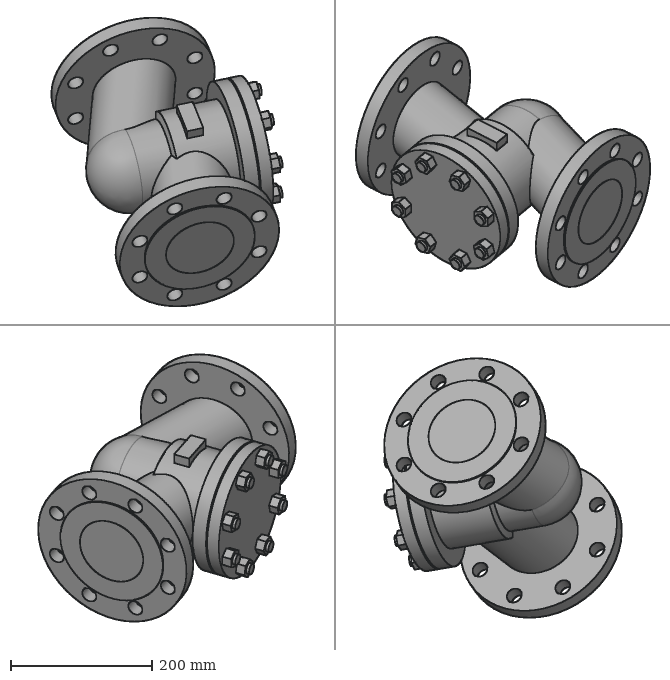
import cadquery as cq
import math


LENGTH = 350.0
FLANGE_DIAMETER = 235.0
FLANGE_THICKNESS = 21.7
RAISED_FACE_DIAMETER = 162.0
RAISED_FACE_HEIGHT = 2.5
FLANGE_BOLT_CIRCLE = 190.0
FLANGE_HOLE_DIAMETER = 22.0
BORE_DIAMETER = 100.0
BORE_RECESS = 0.5
BOLT_COUNT = 8
HALF_PITCH = 180 / BOLT_COUNT

PIPE_DIAMETER = 115.0
INLET_ANGLE = 20.0
OUTLET_ANGLE = 13.0
INLET_OFFSET = -1.8

NECK_DIAMETER = 125.0
SPHERE_CENTER_Y = -51.8
BODY_DIAMETER = 145.0
BODY_BOTTOM_Y = 2.8
SHOULDER_HEIGHT = 4.2

BONNET_DIAMETER = 195.5
BODY_FLANGE_BOTTOM_Y = 89.5
BODY_FLANGE_THICKNESS = 21.0
SEAL_DIAMETER = 135.0
SEAL_THICKNESS = 2.0
COVER_THICKNESS = 18.2
BONNET_BOLT_CIRCLE = 160.3
NUT_ACROSS_FLATS = 24.0
NUT_HEIGHT = 13.5
NUT_TWIST = -7.5
STUD_DIAMETER = 16.0
STUD_PROJECTION = 4.5

PAD_LENGTH = 53.2
PAD_WIDTH = 23.8
PAD_CENTER_Y = 36.5
PAD_TOP_Z = 82.2

FLANGE_BACK_X = LENGTH / 2 - RAISED_FACE_HEIGHT - FLANGE_THICKNESS
COVER_BOTTOM_Y = BODY_FLANGE_BOTTOM_Y + BODY_FLANGE_THICKNESS + SEAL_THICKNESS
COVER_TOP_Y = COVER_BOTTOM_Y + COVER_THICKNESS


def cylinder(diameter, start, direction, height):
    """Solid cylinder from a start point along a direction."""
    return cq.Workplane(
        cq.Solid.makeCylinder(diameter / 2, height, cq.Vector(*start), cq.Vector(*direction))
    )


def bonnet_disc(diameter, bottom_y, height):
    """Cylinder about the bonnet axis."""
    return cylinder(diameter, (0, bottom_y, 0), (0, 1, 0), height)


def pipe_flange(side):
    """Drilled end flange on the -X (side = -1) or +X (side = 1) end."""
    outward = (side, 0, 0)
    flange = cylinder(FLANGE_DIAMETER, (side * FLANGE_BACK_X, 0, 0), outward, FLANGE_THICKNESS)
    raised_face_x = side * (FLANGE_BACK_X + FLANGE_THICKNESS)
    flange = flange.union(
        cylinder(RAISED_FACE_DIAMETER, (raised_face_x, 0, 0), outward, RAISED_FACE_HEIGHT)
    )
    recess_x = side * (LENGTH / 2 - BORE_RECESS)
    flange = flange.cut(cylinder(BORE_DIAMETER, (recess_x, 0, 0), outward, BORE_RECESS))
    holes = (
        cq.Workplane("YZ")
        .polarArray(FLANGE_BOLT_CIRCLE / 2, HALF_PITCH, 360, BOLT_COUNT)
        .circle(FLANGE_HOLE_DIAMETER / 2)
        .extrude(LENGTH, both=True)
    )
    return flange.cut(holes)


def pipe_branch(side, rise_angle, offset_y):
    """Straight pipe from an end flange to the bonnet axis, rising by an angle on the way in."""
    rise = math.radians(rise_angle)
    slope = math.tan(rise)
    outer_x = LENGTH / 2 + PIPE_DIAMETER / 2
    outer_y = offset_y - slope * (outer_x - FLANGE_BACK_X)
    pipe = cylinder(
        PIPE_DIAMETER,
        (side * outer_x, outer_y, 0),
        (-side, slope, 0),
        outer_x / math.cos(rise),
    )
    flange_middle_x = FLANGE_BACK_X + FLANGE_THICKNESS / 2
    return pipe.intersect(cq.Workplane().box(2 * flange_middle_x, LENGTH, LENGTH))


def bonnet_body():
    """Spherical bottom, neck, tapered shoulder and main body as one revolved profile."""
    neck_radius = NECK_DIAMETER / 2
    body_radius = BODY_DIAMETER / 2
    arc_step = neck_radius * math.sqrt(0.5)
    return (
        cq.Workplane("XY")
        .moveTo(0, SPHERE_CENTER_Y - neck_radius)
        .threePointArc((arc_step, SPHERE_CENTER_Y - arc_step), (neck_radius, SPHERE_CENTER_Y))
        .lineTo(neck_radius, BODY_BOTTOM_Y - SHOULDER_HEIGHT)
        .lineTo(body_radius, BODY_BOTTOM_Y)
        .lineTo(body_radius, BODY_FLANGE_BOTTOM_Y)
        .lineTo(0, BODY_FLANGE_BOTTOM_Y)
        .close()
        .revolve(360, (0, 0), (0, 1))
    )


def bonnet_flanges():
    """Body flange and cover with the smaller seal between them."""
    body_flange = bonnet_disc(BONNET_DIAMETER, BODY_FLANGE_BOTTOM_Y, BODY_FLANGE_THICKNESS)
    seal = bonnet_disc(SEAL_DIAMETER, COVER_BOTTOM_Y - SEAL_THICKNESS, SEAL_THICKNESS)
    cover = bonnet_disc(BONNET_DIAMETER, COVER_BOTTOM_Y, COVER_THICKNESS)
    return body_flange.union(seal).union(cover)


def nut_and_stud():
    """One hexagon nut with the stud end above it, on the first bolt position."""
    nut_circumscribed = NUT_ACROSS_FLATS / math.cos(math.radians(30))
    nut = (
        cq.Workplane("XZ", origin=(0, COVER_TOP_Y, 0))
        .transformed(rotate=(0, 0, NUT_TWIST))
        .polygon(6, nut_circumscribed)
        .extrude(-NUT_HEIGHT)
    )
    stud = bonnet_disc(STUD_DIAMETER, COVER_TOP_Y, NUT_HEIGHT + STUD_PROJECTION)
    return nut.union(stud).translate((BONNET_BOLT_CIRCLE / 2, 0, 0))


def name_pad():
    """Flat rectangular pad standing on the upper side of the body."""
    return (
        cq.Workplane("XY")
        .center(0, PAD_CENTER_Y)
        .rect(PAD_LENGTH, PAD_WIDTH)
        .extrude(PAD_TOP_Z)
    )


result = bonnet_body().union(bonnet_flanges()).union(name_pad())
result = result.union(pipe_branch(-1, -INLET_ANGLE, INLET_OFFSET))
result = result.union(pipe_branch(1, OUTLET_ANGLE, 0))
for end_side in (-1, 1):
    result = result.union(pipe_flange(end_side))

fastener = nut_and_stud()
for bolt in range(BOLT_COUNT):
    bolt_angle = HALF_PITCH + bolt * 360 / BOLT_COUNT
    result = result.union(fastener.rotate((0, 0, 0), (0, 1, 0), -bolt_angle))